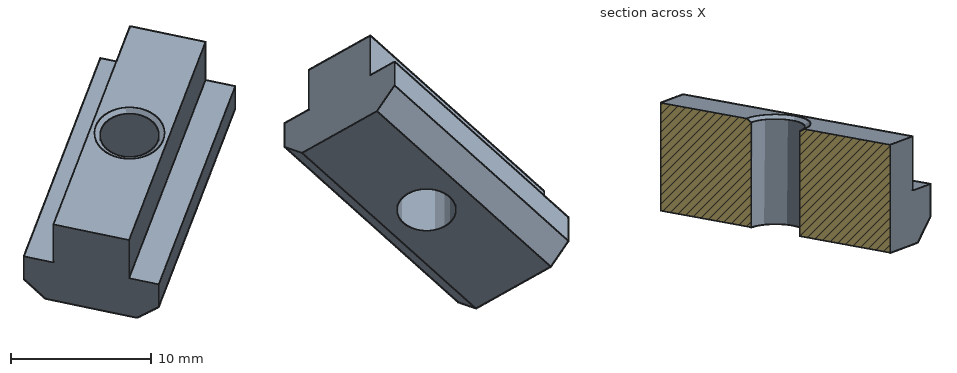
import cadquery as cq

length = 20.0
base_width = 10.0
total_height = 8.0

neck_width = 5.6
base_height = 4.0
bottom_chamfer = 1.6

thread_diameter = 5.0
core_diameter = 4.2
countersink_angle = 120.0


def make_body():
    """T-shaped section with bevelled lower edges, extruded along Y about the origin."""
    half_base = base_width / 2
    half_neck = neck_width / 2
    half_bottom = half_base - bottom_chamfer
    right_side = [
        (half_bottom, 0),
        (half_base, bottom_chamfer),
        (half_base, base_height),
        (half_neck, base_height),
        (half_neck, total_height),
    ]
    left_side = [(-x, z) for x, z in reversed(right_side)]
    return (
        cq.Workplane("XZ")
        .polyline(right_side + left_side)
        .close()
        .extrude(length / 2, both=True)
    )


def cut_threaded_hole(body):
    """Vertical through hole in the middle, countersunk at the top."""
    return (
        body.faces(">Z")
        .workplane(origin=(0, 0, total_height))
        .cskHole(core_diameter, thread_diameter, countersink_angle)
    )


result = cut_threaded_hole(make_body())